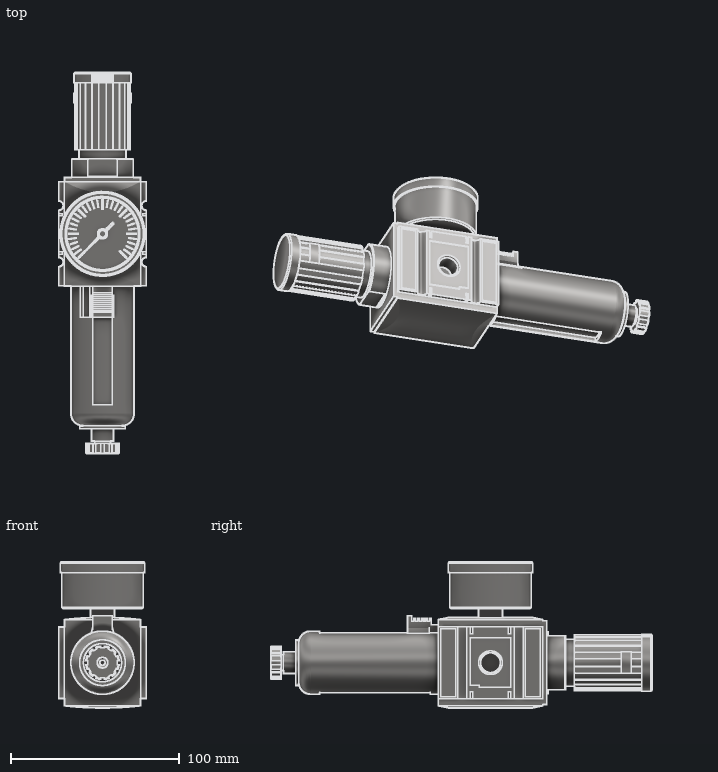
import cadquery as cq
import math


HOUSING_HALF_X = 22.5
HOUSING_HALF_Y = 31.0
HOUSING_EDGE_Z = 25.5
HOUSING_CROWN_Z = 27.0
CROWN_SLOPE_LENGTH = 6.5
PLATE_HALF_Z = 24.9
PLATE_BACK_Y = 33.5
SIDE_FACE_X = 26.0
PAD_HALF_Z = 21.2
PAD_SETBACK = 0.11
PAD_HALF_Y = HOUSING_HALF_Y - PAD_SETBACK
GROOVE_Y = 16.7
GROOVE_RADIUS = 2.7
PANEL_DEPTH = 0.5
PANEL_Y = 25.0
PANEL_WIDTH = 8.8
PANEL_HALF_Z = 20.1
LABEL_HALF_Y = 12.0
LABEL_HALF_Z = 14.7
LABEL_STEP_Y = 5.5
LABEL_STEP_Z = 1.4
SLOT_Y = 11.3
SLOT_WIDTH = 1.4
SLOT_LENGTH = 4.0
SLOT_DEPTH = 2.0
PORT_RADIUS = 5.9
PORT_CHAMFER = 1.1
PORT_DEPTH = 13.5

NUT_RADIUS = 18.3
NUT_FLAT_Z = 16.0
NUT_RIM = 0.7
NUT_BACK_Y = 44.5
NUT_CHAMFER = 0.5
NECK_RADIUS = 14.0

KNOB_FRONT_Y = 49.7
KNOB_BACK_Y = 95.8
KNOB_RADIUS = 17.0
KNOB_CHAMFER = 1.0
COLLAR_LENGTH = 6.3
RIB_RADIUS = 16.7
RIB_ROOT_RADIUS = 16.0
RIB_COUNT = 12
RIB_ANGLE = 14.0
GRIP_FRONT_Y = 77.5
GRIP_LENGTH = 5.9
SERRATION_COUNT = 12
SERRATION_PITCH = 3.8
SERRATION_WIDTH = 0.56
SERRATION_DEPTH = 0.5

GAUGE_TOP_Z = 60.0
BEZEL_RADIUS = 25.0
BEZEL_HEIGHT = 6.5
BEZEL_CHAMFER = 1.0
BEZEL_BORE_TOP = 22.1
DIAL_RADIUS = 21.2
DIAL_DEPTH = 2.0
CASE_RADIUS = 24.2
CASE_BOTTOM_Z = 31.9
CASE_CHAMFER = 1.0
STEM_SIZE = 14.5
MARK_HEIGHT = 0.2
TICK_COUNT = 31
TICK_STEP = 9.0
MAJOR_EVERY = 5
TICK_OUTER = 20.1
TICK_INNER = 15.8
TICK_WIDTH = 0.35
MAJOR_INNER = 14.5
MAJOR_WIDTH = 0.7
DIAL_START_ANGLE = -45.0
NEEDLE_ANGLE = 225.0
NEEDLE_LENGTH = 16.7
NEEDLE_TAIL = 9.0
NEEDLE_WIDTH = 1.1
NEEDLE_HEIGHT = 0.7
HUB_RADIUS = 3.0
HUB_HEIGHT = 1.4
HUB_CHAMFER = 1.0

BOWL_RADIUS = 18.8
BOWL_END_Y = -113.7
BOWL_ROUNDING = 7.2
RECESS_RADIUS = 16.3
CHANNEL_FRONT_Y = -101.2
CHANNEL_BACK_Y = -35.7
CHANNEL_HALF_X = 5.9
POCKET_INNER_X = -7.7
POCKET_SWEEP = 45.0
POCKET_OUTER_ANGLE = 135.0
LATCH_END_Y = -49.3
LATCH_STEP_Y = -35.0
LATCH_HALF_X = 5.9
LATCH_FOOT_HALF_X = 6.5
LATCH_FOOT_Y = -36.4
LATCH_FOOT_Z = 20.5
LATCH_FOOT_BASE_Z = 18.0
LATCH_TONGUE_Z = 22.5
LATCH_TOP_Z = 26.2
LATCH_LIP_Z = 27.8
LATCH_LIP_LENGTH = 2.7
LATCH_ROOT_Z = 15.0
TOOTH_COUNT = 5
TOOTH_GAP = 1.1
TOOTH_DEPTH = 1.5

FLANGE_RADIUS = 13.5
FLANGE_THICKNESS = 1.8
FLANGE_RECESS_RADIUS = 11.3
FLANGE_RECESS_DEPTH = 0.5
SPIGOT_RADIUS = 6.5
SPIGOT_END_Y = -122.7
DRAIN_NECK_RADIUS = 4.7
WHEEL_BACK_Y = -124.0
WHEEL_END_Y = -130.2
WHEEL_RADIUS = 10.0
WHEEL_TOOTH_COUNT = 12
WHEEL_TOOTH_DEPTH = 1.1
WHEEL_NOTCH_WIDTH = 2.3
WHEEL_CHAMFER = 0.5
DRAIN_MOUTH_RADIUS = 3.2
DRAIN_HOLE_RADIUS = 1.5
DRAIN_CONE_DEPTH = 1.1
DRAIN_HOLE_DEPTH = 4.5


def block(x0, x1, y0, y1, z0, z1):
    """Box between opposite corners."""
    return cq.Workplane("XY").box(x1 - x0, y1 - y0, z1 - z0, centered=False).translate((x0, y0, z0))


def rod(radius, y0, y1):
    """Cylinder on the Y axis from y0 up to y1."""
    return cq.Workplane("XZ", origin=(0, y1, 0)).circle(radius).extrude(y1 - y0)


def disc(radius, z0, z1):
    """Cylinder on the Z axis from z0 up to z1."""
    return cq.Workplane("XY", origin=(0, 0, z0)).circle(radius).extrude(z1 - z0)


def sector(radius, start, sweep, y0, y1):
    """Wedge about the Y axis; angles run from +X towards +Z."""
    def at(angle):
        return (radius * math.cos(math.radians(angle)), radius * math.sin(math.radians(angle)))

    outline = cq.Workplane("XZ", origin=(0, y1, 0)).lineTo(*at(start))
    outline = outline.threePointArc(at(start + sweep / 2), at(start + sweep))
    return outline.close().extrude(y1 - y0)


def make_crowned_block():
    """Block whose top and bottom are domed across X and sloped down at both ends."""
    across = (
        cq.Workplane("XZ", origin=(0, HOUSING_HALF_Y, 0))
        .moveTo(-HOUSING_HALF_X, -HOUSING_EDGE_Z)
        .lineTo(-HOUSING_HALF_X, HOUSING_EDGE_Z)
        .threePointArc((0, HOUSING_CROWN_Z), (HOUSING_HALF_X, HOUSING_EDGE_Z))
        .lineTo(HOUSING_HALF_X, -HOUSING_EDGE_Z)
        .threePointArc((0, -HOUSING_CROWN_Z), (-HOUSING_HALF_X, -HOUSING_EDGE_Z))
        .close()
        .extrude(2 * HOUSING_HALF_Y)
    )
    crown_y = HOUSING_HALF_Y - CROWN_SLOPE_LENGTH
    upper = [
        (-HOUSING_HALF_Y, HOUSING_EDGE_Z),
        (-crown_y, HOUSING_CROWN_Z),
        (crown_y, HOUSING_CROWN_Z),
        (HOUSING_HALF_Y, HOUSING_EDGE_Z),
    ]
    lower = [(-y, -z) for y, z in upper]
    along = cq.Workplane("YZ").polyline(upper + lower).close().extrude(HOUSING_HALF_X, both=True)
    return across.intersect(along)


def make_side_cuts():
    """Everything cut into the pad on the -X side: grooves, panels, slots and the port."""
    face = -SIDE_FACE_X
    panel_x = face + PANEL_DEPTH
    cuts = cq.Workplane("YZ", origin=(face, 0, 0)).circle(PORT_RADIUS).extrude(PORT_DEPTH)
    chamfer = cq.Solid.makeCone(
        PORT_RADIUS + PORT_CHAMFER, PORT_RADIUS, PORT_CHAMFER, cq.Vector(panel_x, 0, 0), cq.Vector(1, 0, 0)
    )
    cuts = cuts.union(cq.Workplane(chamfer))
    label = block(face, panel_x, -LABEL_HALF_Y, LABEL_HALF_Y, -LABEL_HALF_Z, LABEL_HALF_Z)
    label_step = block(
        face, panel_x,
        -LABEL_HALF_Y, LABEL_STEP_Y - LABEL_HALF_Y,
        -LABEL_HALF_Z, LABEL_STEP_Z - LABEL_HALF_Z,
    )
    cuts = cuts.union(label.cut(label_step))
    for side in (-1, 1):
        groove = (
            cq.Workplane("XY", origin=(face, side * GROOVE_Y, -PAD_HALF_Z))
            .circle(GROOVE_RADIUS)
            .extrude(2 * PAD_HALF_Z)
        )
        panel_y = side * PANEL_Y
        panel = block(
            face, panel_x, panel_y - PANEL_WIDTH / 2, panel_y + PANEL_WIDTH / 2, -PANEL_HALF_Z, PANEL_HALF_Z
        )
        cuts = cuts.union(groove).union(panel)
        slot_y = side * SLOT_Y
        for z0 in (-PAD_HALF_Z, PAD_HALF_Z - SLOT_LENGTH):
            slot = block(
                face, face + SLOT_DEPTH,
                slot_y - SLOT_WIDTH / 2, slot_y + SLOT_WIDTH / 2,
                z0, z0 + SLOT_LENGTH,
            )
            cuts = cuts.union(slot)
    return cuts


def make_gauge_stem():
    half = STEM_SIZE / 2
    return block(-half, half, -half, half, HOUSING_EDGE_Z, CASE_BOTTOM_Z)


def make_housing():
    pads = block(-SIDE_FACE_X, SIDE_FACE_X, -PAD_HALF_Y, PAD_HALF_Y, -PAD_HALF_Z, PAD_HALF_Z)
    plate = block(-HOUSING_HALF_X, HOUSING_HALF_X, HOUSING_HALF_Y, PLATE_BACK_Y, -PLATE_HALF_Z, PLATE_HALF_Z)
    side_cuts = make_side_cuts()
    body = make_crowned_block().union(pads).union(plate)
    body = body.cut(side_cuts).cut(side_cuts.mirror("YZ"))
    return body.cut(make_gauge_stem())


def make_bonnet():
    """Round nut with two wrench flats, a full rim next to the housing and a plain neck."""
    nut = rod(NUT_RADIUS, PLATE_BACK_Y, NUT_BACK_Y).faces(">Y").chamfer(NUT_CHAMFER)
    for z0 in (-NUT_RADIUS, NUT_FLAT_Z):
        flat = block(
            -NUT_RADIUS, NUT_RADIUS, PLATE_BACK_Y + NUT_RIM, NUT_BACK_Y, z0, z0 + NUT_RADIUS - NUT_FLAT_Z
        )
        nut = nut.cut(flat)
    return nut.union(rod(NECK_RADIUS, NUT_BACK_Y, KNOB_FRONT_Y))


def make_knob():
    collar_y = KNOB_BACK_Y - COLLAR_LENGTH
    knob = rod(KNOB_RADIUS, collar_y, KNOB_BACK_Y).faces(">Y").chamfer(KNOB_CHAMFER)
    knob = knob.union(rod(RIB_ROOT_RADIUS, KNOB_FRONT_Y, collar_y))
    rib_step = 360.0 / RIB_COUNT
    for i in range(RIB_COUNT):
        rib_start = rib_step * (i + 0.5) - RIB_ANGLE / 2
        knob = knob.union(sector(RIB_RADIUS, rib_start, RIB_ANGLE, KNOB_FRONT_Y, collar_y))
    grip_sweep = rib_step + RIB_ANGLE
    for middle in (0, 180):
        grip_start = middle - grip_sweep / 2
        grip = sector(KNOB_RADIUS, grip_start, grip_sweep, GRIP_FRONT_Y, GRIP_FRONT_Y + GRIP_LENGTH)
        knob = knob.union(grip)
    for i in range(SERRATION_COUNT):
        turn = SERRATION_PITCH * (i - (SERRATION_COUNT - 1) / 2)
        serration = block(
            -SERRATION_WIDTH / 2, SERRATION_WIDTH / 2,
            collar_y, KNOB_BACK_Y,
            KNOB_RADIUS - SERRATION_DEPTH, KNOB_RADIUS + SERRATION_DEPTH,
        )
        knob = knob.cut(serration.rotate((0, 0, 0), (0, 1, 0), turn))
    return knob


def make_dial_marks(dial_z):
    """Raised scale ticks, needle and hub on the dial."""
    hub = disc(HUB_RADIUS, dial_z, dial_z + HUB_HEIGHT).faces(">Z").chamfer(HUB_CHAMFER)
    needle = (
        cq.Workplane("XY", origin=(0, 0, dial_z))
        .polyline([
            (-NEEDLE_TAIL, -NEEDLE_WIDTH / 2),
            (0, -NEEDLE_WIDTH / 2),
            (NEEDLE_LENGTH, 0),
            (0, NEEDLE_WIDTH / 2),
            (-NEEDLE_TAIL, NEEDLE_WIDTH / 2),
        ])
        .close()
        .extrude(NEEDLE_HEIGHT)
        .rotate((0, 0, 0), (0, 0, 1), NEEDLE_ANGLE)
    )
    marks = hub.union(needle)
    for i in range(TICK_COUNT):
        is_major = i % MAJOR_EVERY == 0
        inner = MAJOR_INNER if is_major else TICK_INNER
        width = MAJOR_WIDTH if is_major else TICK_WIDTH
        tick = block(inner, TICK_OUTER, -width / 2, width / 2, dial_z, dial_z + MARK_HEIGHT)
        angle = DIAL_START_ANGLE + TICK_STEP * i
        marks = marks.union(tick.rotate((0, 0, 0), (0, 0, 1), angle))
    return marks


def make_gauge():
    bezel_z = GAUGE_TOP_Z - BEZEL_HEIGHT
    dial_z = GAUGE_TOP_Z - DIAL_DEPTH
    bezel = disc(BEZEL_RADIUS, bezel_z, GAUGE_TOP_Z).faces(">Z").chamfer(BEZEL_CHAMFER)
    bore = cq.Solid.makeCone(DIAL_RADIUS, BEZEL_BORE_TOP, DIAL_DEPTH, cq.Vector(0, 0, dial_z))
    bezel = bezel.cut(cq.Workplane(bore))
    case = disc(CASE_RADIUS, CASE_BOTTOM_Z, bezel_z).faces("<Z").chamfer(CASE_CHAMFER)
    return bezel.union(case).union(make_gauge_stem()).union(make_dial_marks(dial_z))


def make_latch():
    """Toothed push button with a raised lip and a flared foot."""
    tongue = block(
        -LATCH_HALF_X, LATCH_HALF_X, LATCH_STEP_Y, -HOUSING_HALF_Y, LATCH_ROOT_Z, LATCH_TONGUE_Z
    )
    button = block(-LATCH_HALF_X, LATCH_HALF_X, LATCH_END_Y, LATCH_STEP_Y, LATCH_ROOT_Z, LATCH_TOP_Z)
    lip_back_y = LATCH_END_Y + LATCH_LIP_LENGTH
    lip = block(-LATCH_HALF_X, LATCH_HALF_X, LATCH_END_Y, lip_back_y, LATCH_TOP_Z, LATCH_LIP_Z)
    foot = (
        cq.Workplane("XZ", origin=(0, LATCH_FOOT_Y, 0))
        .polyline([
            (-LATCH_HALF_X, LATCH_FOOT_Z),
            (LATCH_HALF_X, LATCH_FOOT_Z),
            (LATCH_FOOT_HALF_X, LATCH_FOOT_BASE_Z),
            (LATCH_FOOT_HALF_X, LATCH_ROOT_Z),
            (-LATCH_FOOT_HALF_X, LATCH_ROOT_Z),
            (-LATCH_FOOT_HALF_X, LATCH_FOOT_BASE_Z),
        ])
        .close()
        .extrude(LATCH_FOOT_Y - LATCH_END_Y)
    )
    latch = tongue.union(button).union(lip).union(foot)
    tooth_pitch = (LATCH_STEP_Y - lip_back_y) / TOOTH_COUNT
    for i in range(TOOTH_COUNT):
        gap_y = lip_back_y + tooth_pitch * i
        gap = block(
            -LATCH_HALF_X, LATCH_HALF_X, gap_y, gap_y + TOOTH_GAP, LATCH_TOP_Z - TOOTH_DEPTH, LATCH_TOP_Z
        )
        latch = latch.cut(gap)
    return latch


def make_channels():
    """Channels along the top and bottom of the bowl, with a floor concentric with it."""
    channels = block(
        -CHANNEL_HALF_X, CHANNEL_HALF_X, CHANNEL_FRONT_Y, CHANNEL_BACK_Y, -BOWL_RADIUS, BOWL_RADIUS
    )
    return channels.cut(rod(RECESS_RADIUS, CHANNEL_FRONT_Y, CHANNEL_BACK_Y))


def make_pocket():
    """Pocket beside the latch: radial outer wall, upright inner wall, concentric floor."""
    start = POCKET_OUTER_ANGLE - POCKET_SWEEP
    pocket = sector(BOWL_RADIUS, start, POCKET_SWEEP, LATCH_END_Y, -HOUSING_HALF_Y)
    inner_side = block(POCKET_INNER_X, BOWL_RADIUS, LATCH_END_Y, -HOUSING_HALF_Y, 0, BOWL_RADIUS)
    return pocket.cut(inner_side).cut(rod(RECESS_RADIUS, LATCH_END_Y, -HOUSING_HALF_Y))


def make_bowl():
    bowl = rod(BOWL_RADIUS, BOWL_END_Y, -HOUSING_HALF_Y).faces("<Y").edges().fillet(BOWL_ROUNDING)
    return bowl.cut(make_channels()).cut(make_pocket()).union(make_latch())


def make_drain():
    """Flange on the bowl end, spigot, and a toothed thumb wheel with a drain hole."""
    flange_end_y = BOWL_END_Y - FLANGE_THICKNESS
    flange = rod(FLANGE_RADIUS, flange_end_y, BOWL_END_Y)
    flange = flange.cut(rod(FLANGE_RECESS_RADIUS, flange_end_y, flange_end_y + FLANGE_RECESS_DEPTH))
    spigot = rod(SPIGOT_RADIUS, SPIGOT_END_Y, BOWL_END_Y)
    neck = rod(DRAIN_NECK_RADIUS, WHEEL_BACK_Y, SPIGOT_END_Y)
    wheel = rod(WHEEL_RADIUS, WHEEL_END_Y, WHEEL_BACK_Y).faces("<Y").chamfer(WHEEL_CHAMFER)
    for i in range(WHEEL_TOOTH_COUNT):
        notch = block(
            -WHEEL_NOTCH_WIDTH / 2, WHEEL_NOTCH_WIDTH / 2,
            WHEEL_END_Y, WHEEL_BACK_Y,
            WHEEL_RADIUS - WHEEL_TOOTH_DEPTH, WHEEL_RADIUS + WHEEL_TOOTH_DEPTH,
        )
        wheel = wheel.cut(notch.rotate((0, 0, 0), (0, 1, 0), 360.0 / WHEEL_TOOTH_COUNT * i))
    mouth = cq.Solid.makeCone(
        DRAIN_MOUTH_RADIUS, DRAIN_HOLE_RADIUS, DRAIN_CONE_DEPTH,
        cq.Vector(0, WHEEL_END_Y, 0), cq.Vector(0, 1, 0),
    )
    hole = rod(DRAIN_HOLE_RADIUS, WHEEL_END_Y, WHEEL_END_Y + DRAIN_HOLE_DEPTH)
    wheel = wheel.cut(cq.Workplane(mouth)).cut(hole)
    return flange.union(spigot).union(neck).union(wheel)


housing = make_housing()
bonnet = make_bonnet()
knob = make_knob()
gauge = make_gauge()
bowl = make_bowl()
drain = make_drain()

result = cq.Compound.makeCompound([
    housing.val(),
    bonnet.val(),
    knob.val(),
    gauge.val(),
    bowl.val(),
    drain.val(),
])